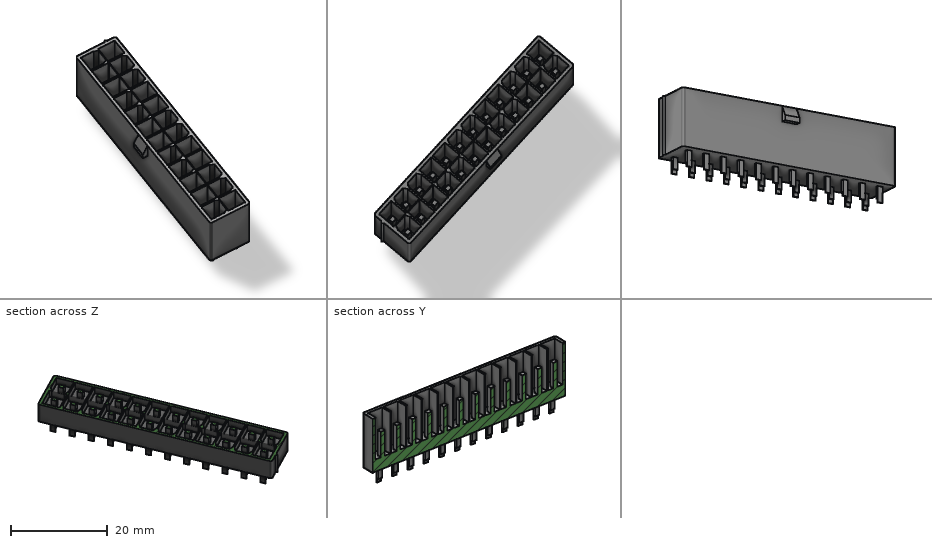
import cadquery as cq

overall_length = 52.0
overall_depth = 10.95
overall_height = 16.3
rib_projection = 0.4
latch_projection = 1.15
housing_length = overall_length - rib_projection
housing_depth = overall_depth - latch_projection
housing_height = 12.8
corner_radius = 0.5

columns = 12
pitch = 4.2

cavity_length = 3.78
cavity_depth = 4.06
cavity_corner = 0.5
cavity_corner_rise = 0.9
floor_thickness = 3.0

contact_width = 1.14
pin_thickness = 1.0
pin_height = 6.0

tail_row_spacing = 5.5
tail_thickness = 0.65
tail_tip_thickness = 0.3
tail_length = overall_height - housing_height
tail_tip_length = 0.9

latch_width = 3.5
latch_ramp_height = 2.3
latch_nose_height = 1.15

rib_y = 2.48
rib_base_width = 0.75

column_positions = [(i - (columns - 1) / 2) * pitch for i in range(columns)]
row_sides = (1, -1)


def make_housing():
    block = cq.Workplane("XY").box(
        housing_length, housing_depth, housing_height, centered=(True, True, False)
    )
    return block.edges("|Z").fillet(corner_radius)


def make_rib():
    wall_x = -housing_length / 2
    return (
        cq.Workplane("XY")
        .moveTo(wall_x, rib_y - rib_base_width / 2)
        .lineTo(wall_x - rib_projection, rib_y)
        .lineTo(wall_x, rib_y + rib_base_width / 2)
        .close()
        .extrude(housing_height)
    )


def make_latch():
    wall_y = -housing_depth / 2
    nose_y = wall_y - latch_projection
    nose_top_z = housing_height - latch_ramp_height
    bottom_z = nose_top_z - latch_nose_height
    profile = [(wall_y, housing_height), (nose_y, nose_top_z), (nose_y, bottom_z), (wall_y, bottom_z)]
    return cq.Workplane("YZ").polyline(profile).close().extrude(latch_width / 2, both=True)


def make_cavity(x, y, keyed):
    """Cavity at a grid point; a keyed one has its two +Y corners cut off."""
    half_length = cavity_length / 2
    half_depth = cavity_depth / 2
    outline = [(-half_length, -half_depth), (half_length, -half_depth)]
    if keyed:
        outline += [
            (half_length, half_depth - cavity_corner_rise),
            (half_length - cavity_corner, half_depth),
            (cavity_corner - half_length, half_depth),
            (-half_length, half_depth - cavity_corner_rise),
        ]
    else:
        outline += [(half_length, half_depth), (-half_length, half_depth)]
    return (
        cq.Workplane("XY", origin=(x, y, floor_thickness))
        .polyline(outline)
        .close()
        .extrude(housing_height - floor_thickness)
    )


def make_pin(x, y):
    return (
        cq.Workplane("XY", origin=(x, y, floor_thickness))
        .rect(contact_width, pin_thickness)
        .extrude(pin_height)
    )


def make_tail(x, side):
    outer_y = side * (tail_row_spacing + tail_thickness) / 2
    inner_y = outer_y - side * tail_thickness
    tip_y = outer_y - side * tail_tip_thickness
    step_z = tail_tip_length - tail_length
    profile = [
        (outer_y, 0),
        (outer_y, -tail_length),
        (tip_y, -tail_length),
        (tip_y, step_z),
        (inner_y, step_z),
        (inner_y, 0),
    ]
    return (
        cq.Workplane("YZ", origin=(x, 0, 0))
        .polyline(profile)
        .close()
        .extrude(contact_width / 2, both=True)
    )


def is_keyed(column, side):
    """Keys run one, two, two, ... two, one along a row; the rows are opposite."""
    back_row_keyed = column % 4 in (1, 2)
    return back_row_keyed == (side > 0)


result = make_housing().union(make_rib()).union(make_latch())

for column, x in enumerate(column_positions):
    for side in row_sides:
        y = side * pitch / 2
        result = result.cut(make_cavity(x, y, is_keyed(column, side)))
        result = result.union(make_pin(x, y)).union(make_tail(x, side))